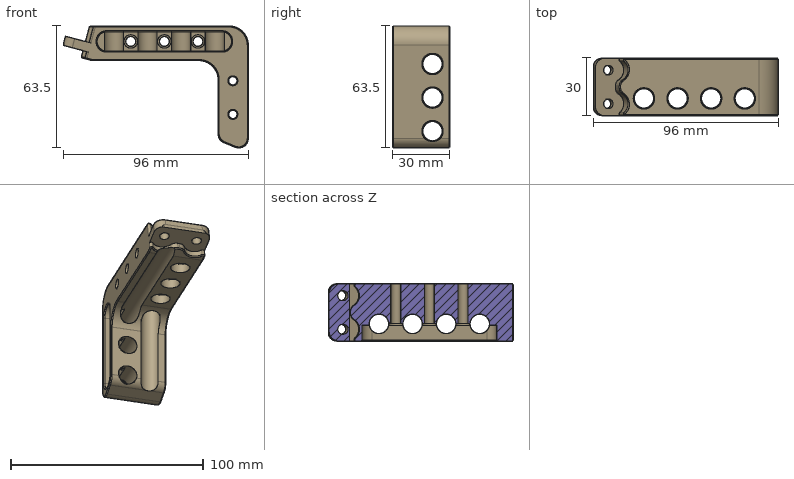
import cadquery as cq
import math

LENGTH = 96.0
WIDTH = 30.0
HEIGHT = 63.5
ARM_THICKNESS = 18.0
LEG_THICKNESS = 15.7
BEND_RADIUS = 10.0
LEG_TIP_RADIUS = 5.0
LEG_TIP_SLOPE = math.radians(22)
EDGE_CHAMFER = 0.6

PITCH = 17.5
LARGE_DIAMETER = 10.0
AXIS_INSET = 9.0
FIRST_ARM_HOLE = 17.5
FIRST_LEG_HOLE = 19.8
ARM_HOLE_COUNT = 4
LEG_HOLE_COUNT = 3
POCKET_WIDTH = 10.1
POCKET_INSET = 8.1
POCKET_DEPTH = 8.3
LEG_POCKET_END = 5.0
ARM_CROSS_DIAMETER = 5.0
ARM_COUNTERBORE = 7.0
COUNTERBORE_DEPTH = 1.0
LEG_CROSS_DIAMETER = 4.2
LEG_CROSS_SINK = 5.2

TILT = math.radians(15)
TAB_TOP_X = -95.1
TAB_TOP_Z = -5.3
TAB_THICKNESS = 5.0
TAB_CORNER_RADIUS = 5.0
TAB_HOLE_DIAMETER = 5.0
TAB_HOLE_FROM_TIP = 7.0
TAB_ROOT = 17.3
SOLE_BELOW_TAB = 3.7

WAVE_CREST = 10.8
HOLLOW_RADIUS = 6.0
CREST_RADIUS = 3.8
CREST_FLAT = 1.0
END_CORNER_RADIUS = 1.0
WAVE_REGION = 19.2

OUTSIDE = 9.6
SKIN = 1.0
DOWN = (0, 0, -1)
INWARD = (-1, 0, 0)
BACK = (0, 1, 0)


def tab_point(along, below=0.0):
    """XZ position at a distance along the tab from its tip and below its top face."""
    x = TAB_TOP_X + along * math.cos(TILT) - below * math.sin(TILT)
    z = TAB_TOP_Z - along * math.sin(TILT) - below * math.cos(TILT)
    return x, z


def tab_plane(below=0.0):
    """Plane parallel to the tab: local x runs inward from the tip, local y is Y."""
    x, z = tab_point(0, below)
    return cq.Plane(
        origin=(x, 0, z),
        xDir=(math.cos(TILT), 0, -math.sin(TILT)),
        normal=(math.sin(TILT), 0, math.cos(TILT)),
    )


def cylinder(diameter, start, direction, length):
    solid = cq.Solid.makeCylinder(diameter / 2, length, cq.Vector(*start), cq.Vector(*direction))
    return cq.Workplane(solid)


def sink(hole_diameter, rim_diameter, center, direction):
    """45-degree countersink cone, wide at center and narrowing along direction."""
    depth = (rim_diameter - hole_diameter) / 2
    cone = cq.Solid.makeCone(
        rim_diameter / 2, hole_diameter / 2, depth, cq.Vector(*center), cq.Vector(*direction)
    )
    return cq.Workplane(cone)


def bracket_outline():
    """L-shaped side profile with a square-cut arm end at the tab tip, extruded over the width."""
    sole = TAB_THICKNESS + SOLE_BELOW_TAB
    top_left = (TAB_TOP_X - TAB_TOP_Z * math.tan(TILT), 0)
    sole_run = (ARM_THICKNESS + TAB_TOP_Z - sole * math.cos(TILT)) / math.sin(TILT)
    corner_drop = LEG_TIP_RADIUS * (1 / math.cos(LEG_TIP_SLOPE) + math.tan(LEG_TIP_SLOPE))
    outer_z = -(HEIGHT - LEG_TIP_RADIUS) - corner_drop
    inner_z = outer_z + LEG_THICKNESS * math.tan(LEG_TIP_SLOPE)

    body = (
        cq.Workplane("XZ")
        .polyline([
            top_left,
            (0, 0),
            (0, outer_z),
            (-LEG_THICKNESS, inner_z),
            (-LEG_THICKNESS, -ARM_THICKNESS),
            tab_point(sole_run, sole),
            tab_point(0, sole),
        ])
        .close()
        .extrude(-WIDTH)
    )

    def corner(x, z):
        margin = 0.1
        return cq.selectors.BoxSelector((x - margin, 0, z - margin), (x + margin, WIDTH, z + margin))

    body = body.edges(corner(0, outer_z)).fillet(LEG_TIP_RADIUS)
    body = body.edges(corner(-LEG_THICKNESS, inner_z)).fillet(LEG_TIP_RADIUS)
    body = body.edges(corner(0, 0)).fillet(BEND_RADIUS)
    return body.edges(corner(-LEG_THICKNESS, -ARM_THICKNESS)).fillet(BEND_RADIUS)


def wave_cutter():
    """Prism removing everything outside the wavy end wall: two hollows facing the tab holes.

    One half runs from the mid-plane to the front face, and the other half is its mirror image.
    """
    middle = WIDTH / 2
    crest_reach = HOLLOW_RADIUS + CREST_RADIUS
    crest_angle = math.asin((PITCH / 2 - CREST_FLAT / 2) / crest_reach)
    hollow_center = WAVE_CREST + CREST_RADIUS - crest_reach * math.cos(crest_angle)
    hollow_y = middle - PITCH / 2
    corner_reach = HOLLOW_RADIUS + END_CORNER_RADIUS
    corner_angle = math.asin((hollow_y - END_CORNER_RADIUS) / corner_reach)
    corner_center = hollow_center + corner_reach * math.cos(corner_angle)

    crest_join = (
        hollow_center + HOLLOW_RADIUS * math.cos(crest_angle),
        hollow_y + HOLLOW_RADIUS * math.sin(crest_angle),
    )
    hollow_bottom = (hollow_center + HOLLOW_RADIUS, hollow_y)
    corner_join = (
        hollow_center + HOLLOW_RADIUS * math.cos(corner_angle),
        hollow_y - HOLLOW_RADIUS * math.sin(corner_angle),
    )
    corner_peak = (corner_center - END_CORNER_RADIUS, END_CORNER_RADIUS)
    front_half = (
        cq.Workplane(tab_plane(HEIGHT / 2))
        .moveTo(-OUTSIDE, middle)
        .lineTo(WAVE_CREST, middle)
        .lineTo(WAVE_CREST, middle - CREST_FLAT / 2)
        .radiusArc(crest_join, -CREST_RADIUS)
        .threePointArc(hollow_bottom, corner_join)
        .threePointArc(corner_peak, (corner_center, 0))
        .lineTo(-OUTSIDE, 0)
        .close()
        .extrude(HEIGHT)
    )
    return front_half.union(front_half.mirror("XZ", (0, middle, 0)))


def chamfered_bracket():
    """Bracket body with its front, back and wavy-end rims chamfered."""
    body = bracket_outline().cut(wave_cutter())
    tilted_up = tab_plane().zDir
    upright = cq.selectors.ParallelDirSelector(tilted_up)
    wave_region = cq.selectors.BoxSelector(
        (-LENGTH, SKIN / 4, -ARM_THICKNESS + 0.05),
        (-LENGTH + WAVE_REGION, WIDTH - SKIN / 4, SKIN),
    )
    rims = body.faces("<Y or >Y").edges(-upright)
    rims = rims.add(body.faces(">Z").edges(wave_region))
    rims = rims.add(body.faces(cq.selectors.DirectionSelector(-tilted_up)).edges(wave_region))
    return rims.chamfer(EDGE_CHAMFER)


def tab():
    """Tilted plate with two round corners, its tip trimmed upright at the overall length."""
    plate = (
        cq.Workplane(tab_plane(TAB_THICKNESS))
        .moveTo(TAB_ROOT, 0)
        .lineTo(TAB_CORNER_RADIUS, 0)
        .radiusArc((0, TAB_CORNER_RADIUS), TAB_CORNER_RADIUS)
        .lineTo(0, WIDTH - TAB_CORNER_RADIUS)
        .radiusArc((TAB_CORNER_RADIUS, WIDTH), TAB_CORNER_RADIUS)
        .lineTo(TAB_ROOT, WIDTH)
        .close()
        .extrude(TAB_THICKNESS)
    )
    beyond_tip = cq.Workplane("XY").box(LENGTH, 3 * WIDTH, LENGTH).translate((-1.5 * LENGTH, 0, 0))
    return plate.cut(beyond_tip)


def tab_holes():
    return (
        cq.Workplane(tab_plane(TAB_THICKNESS + SKIN))
        .pushPoints([(TAB_HOLE_FROM_TIP, WIDTH / 2 + side * PITCH / 2) for side in (-1, 1)])
        .circle(TAB_HOLE_DIAMETER / 2)
        .extrude(TAB_THICKNESS + 2 * SKIN)
    )


def pocket(plane, center, length):
    """Round-ended pocket with a chamfered mouth, sunk against the normal of a plane on its face.

    The pocket runs along the local x direction of the plane.
    """
    face = cq.Workplane(plane).center(center, 0)
    body = face.slot2D(length, POCKET_WIDTH).extrude(-POCKET_DEPTH)
    mouth = face.slot2D(length + 2 * EDGE_CHAMFER, POCKET_WIDTH + 2 * EDGE_CHAMFER)
    return body.union(mouth.extrude(-EDGE_CHAMFER, taper=45))


arm_holes = [-FIRST_ARM_HOLE - index * PITCH for index in range(ARM_HOLE_COUNT)]
leg_holes = [-FIRST_LEG_HOLE - index * PITCH for index in range(LEG_HOLE_COUNT)]
arm_cross_holes = [x - PITCH / 2 for x in arm_holes[:-1]]
leg_cross_holes = [z - PITCH / 2 for z in leg_holes[:-1]]
arm_axis_y = AXIS_INSET
leg_axis_y = WIDTH - AXIS_INSET
large_rim = LARGE_DIAMETER + 2 * EDGE_CHAMFER

result = chamfered_bracket().union(tab()).cut(tab_holes())

for x in arm_holes:
    result = result.cut(cylinder(LARGE_DIAMETER, (x, arm_axis_y, SKIN), DOWN, HEIGHT + 2 * SKIN))
    result = result.cut(sink(LARGE_DIAMETER, large_rim, (x, arm_axis_y, 0), DOWN))

for z in leg_holes:
    result = result.cut(cylinder(LARGE_DIAMETER, (SKIN, leg_axis_y, z), INWARD, LENGTH + 2 * SKIN))
    result = result.cut(sink(LARGE_DIAMETER, large_rim, (0, leg_axis_y, z), INWARD))

arm_pocket_center = (arm_holes[0] + arm_holes[-1]) / 2
front = cq.Plane(origin=(0, 0, -POCKET_INSET), xDir=(1, 0, 0), normal=(0, -1, 0))
result = result.cut(pocket(front, arm_pocket_center, ARM_HOLE_COUNT * PITCH))

leg_pocket_top = leg_holes[0] + PITCH / 2
leg_pocket_bottom = leg_holes[-1] - LEG_POCKET_END
back = cq.Plane(origin=(-POCKET_INSET, WIDTH, 0), xDir=(0, 0, 1), normal=(0, 1, 0))
leg_pocket_center = (leg_pocket_top + leg_pocket_bottom) / 2
result = result.cut(pocket(back, leg_pocket_center, leg_pocket_top - leg_pocket_bottom))

for x in arm_cross_holes:
    start = (x, 0, -POCKET_INSET)
    result = result.cut(cylinder(ARM_CROSS_DIAMETER, start, BACK, WIDTH + SKIN))
    result = result.cut(cylinder(ARM_COUNTERBORE, start, BACK, POCKET_DEPTH + COUNTERBORE_DEPTH))

for z in leg_cross_holes:
    start = (-POCKET_INSET, -SKIN, z)
    result = result.cut(cylinder(LEG_CROSS_DIAMETER, start, BACK, WIDTH + 2 * SKIN))
    result = result.cut(sink(LEG_CROSS_DIAMETER, LEG_CROSS_SINK, (-POCKET_INSET, 0, z), BACK))